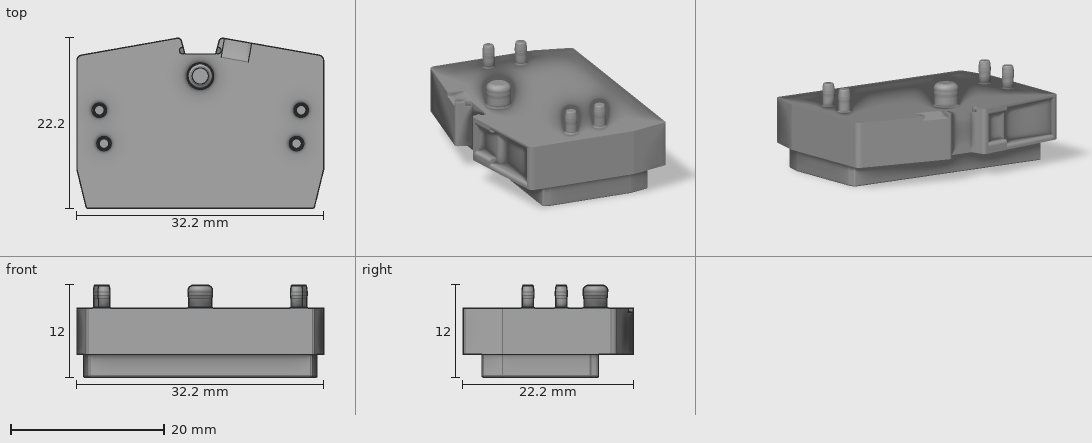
import cadquery as cq
import math

half_width = 16.1
body_height = 6.0
front_inset = 1.25
front_taper_y = 5.1
taper_slope = front_inset / front_taper_y
front_corner_radius = 0.3
shoulder_y = 19.885
shoulder_radius = 0.75
back_angle = 10
back_slope = math.tan(math.radians(back_angle))

notch_floor_y = 20.15
notch_half_width = 2.0
notch_flare = math.tan(math.radians(15))
tip_radius = 0.5

relief_radius = 0.43
relief_depth = 0.6
relief_x = notch_half_width + 0.3

recess_start_x = -15.3
recess_step_x = -6.7
recess_floor_y = 19.3
recess_top_z = -0.6
recess_bottom_z = -5.3
pocket_end_x = -3.3
pocket_floor_y = 20.5
pocket_top_z = -1.0
pocket_bottom_z = -4.65
step_radius = 0.77
opening_radius = 0.44
cut_margin = 2.0

ramp_start_x = 3.15
ramp_width = 3.6
ramp_length = 2.5
ramp_drop = 0.55

plate_height = 3.0
plate_half_width = 15.24
plate_front_y = 2.45
plate_back_y = 17.67
plate_front_taper_y = 5.14
plate_back_taper_y = 16.62
plate_front_x = plate_half_width - taper_slope * (plate_front_taper_y - plate_front_y)
plate_back_x = plate_half_width - taper_slope * (plate_back_y - plate_back_taper_y)
plate_corner_radius = 0.25
plate_side_radius = 0.6
plate_bottom_radius = 0.2

pin_height = 3.0
pin_root = 1.0
flare_height = 0.15
ridge_start_z = 1.25
ridge_low_z = 1.69
ridge_high_z = 2.13
crown_middle_z = 2.65
crown_end_z = 2.92
large_pin_y = 17.25
small_pin_spots = [(13.15, 12.8), (12.55, 8.45)]


def back_edge_y(x):
    """Y of the sloped back edge before its corners are rounded."""
    return shoulder_y + back_slope * (half_width - abs(x))


def symmetric_outline(right_half):
    """Full outline from its right half, listed front to back."""
    return right_half + [(-x, y) for x, y in reversed(right_half)]


def make_body():
    tip_rise = back_edge_y(notch_half_width) - notch_floor_y
    tip_x = notch_half_width + notch_flare * tip_rise / (1 + notch_flare * back_slope)
    front_corner = (half_width - front_inset, 0)
    shoulder = (half_width, shoulder_y)
    tip = (tip_x, back_edge_y(tip_x))
    right_half = [
        front_corner,
        (half_width, front_taper_y),
        shoulder,
        tip,
        (notch_half_width, notch_floor_y),
    ]
    body = cq.Workplane("XY").polyline(symmetric_outline(right_half)).close().extrude(-body_height)
    rounded_corners = [
        (front_corner, front_corner_radius),
        (shoulder, shoulder_radius),
        (tip, tip_radius),
    ]
    for (x, y), radius in rounded_corners:
        for side in (-1, 1):
            corner = cq.selectors.NearestToPointSelector((side * x, y, -body_height / 2))
            body = body.edges(corner).fillet(radius)
    return body


def make_reliefs():
    relief_y = notch_floor_y + relief_radius
    spots = [(-relief_x, relief_y), (relief_x, relief_y)]
    return cq.Workplane("XY").pushPoints(spots).circle(relief_radius).extrude(-relief_depth)


def make_recess():
    """Wide part of the recess, with a rounded step up to the floor of the narrow part."""
    outside_y = back_edge_y(0) + cut_margin
    return (
        cq.Workplane("XY", origin=(0, 0, recess_bottom_z))
        .moveTo(recess_start_x, recess_floor_y)
        .lineTo(recess_step_x - step_radius, recess_floor_y)
        .lineTo(recess_step_x - step_radius, pocket_floor_y - step_radius)
        .radiusArc((recess_step_x, pocket_floor_y), step_radius)
        .lineTo(recess_step_x, outside_y)
        .lineTo(recess_start_x, outside_y)
        .close()
        .extrude(recess_top_z - recess_bottom_z)
    )


def make_pocket():
    """Narrow part of the recess; its end wall is square to the sloped back edge."""
    end_y = back_edge_y(pocket_end_x)
    outside_y = end_y + cut_margin
    outline = [
        (recess_step_x, pocket_floor_y),
        (pocket_end_x + back_slope * (end_y - pocket_floor_y), pocket_floor_y),
        (pocket_end_x - back_slope * cut_margin, outside_y),
        (recess_step_x, outside_y),
    ]
    return (
        cq.Workplane("XY", origin=(0, 0, pocket_bottom_z))
        .polyline(outline)
        .close()
        .extrude(pocket_top_z - pocket_bottom_z)
    )


def round_opening(body):
    """Round the long upper and lower edges of the recess mouth."""
    recess_middle_x = (recess_start_x + recess_step_x) / 2
    pocket_middle_x = (recess_step_x + pocket_end_x) / 2
    mouth_edges = [
        (recess_middle_x, recess_top_z),
        (recess_middle_x, recess_bottom_z),
        (pocket_middle_x, pocket_top_z),
        (pocket_middle_x, pocket_bottom_z),
    ]
    for x, z in mouth_edges:
        edge = cq.selectors.NearestToPointSelector((x, back_edge_y(x), z))
        body = body.edges(edge).fillet(opening_radius)
    return body


def make_ramp():
    extra_drop = ramp_drop * cut_margin / ramp_length
    section = [
        (-ramp_length, 0),
        (cut_margin, -ramp_drop - extra_drop),
        (cut_margin, 0),
    ]
    return (
        cq.Workplane("YZ")
        .polyline(section)
        .close()
        .extrude(ramp_width)
        .rotate((0, 0, 0), (0, 0, 1), -back_angle)
        .translate((ramp_start_x, back_edge_y(ramp_start_x), 0))
    )


def make_plate():
    right_half = [
        (plate_front_x, plate_front_y),
        (plate_half_width, plate_front_taper_y),
        (plate_half_width, plate_back_taper_y),
        (plate_back_x, plate_back_y),
    ]
    plate = (
        cq.Workplane("XY", origin=(0, 0, -body_height))
        .polyline(symmetric_outline(right_half))
        .close()
        .extrude(-plate_height)
    )
    plate = plate.edges("|Z and (<Y or >Y)").fillet(plate_corner_radius)
    for side in (-1, 1):
        corner = (side * plate_half_width, plate_back_taper_y, -body_height - plate_height / 2)
        plate = plate.edges(cq.selectors.NearestToPointSelector(corner)).fillet(plate_side_radius)
    return plate.faces("<Z").edges().fillet(plate_bottom_radius)


def make_pin(x, y, shaft_radius, ridge_radius, flare_radius, crown_radius, top_radius):
    """Turned pin: flared foot, shaft, raised ridge and a rounded crown."""
    return (
        cq.Workplane("XZ")
        .moveTo(0, -pin_root)
        .lineTo(flare_radius, -pin_root)
        .lineTo(flare_radius, 0)
        .lineTo(shaft_radius, flare_height)
        .lineTo(shaft_radius, ridge_start_z)
        .lineTo(ridge_radius, ridge_low_z)
        .lineTo(ridge_radius, ridge_high_z)
        .threePointArc((shaft_radius, crown_middle_z), (crown_radius, crown_end_z))
        .lineTo(top_radius, pin_height)
        .lineTo(0, pin_height)
        .close()
        .revolve(360, (0, 0, 0), (0, 1, 0))
        .translate((x, y, 0))
    )


def make_large_pin():
    return make_pin(
        0, large_pin_y, shaft_radius=1.525, ridge_radius=1.6, flare_radius=1.75,
        crown_radius=1.22, top_radius=1.05,
    )


def make_small_pin(x, y):
    return make_pin(
        x, y, shaft_radius=0.75, ridge_radius=0.8, flare_radius=0.95,
        crown_radius=0.68, top_radius=0.62,
    )


body = make_body().cut(make_recess()).cut(make_pocket())
body = round_opening(body)
body = body.cut(make_reliefs()).cut(make_ramp())

result = body.union(make_plate()).union(make_large_pin())
for pin_x, pin_y in small_pin_spots:
    for side in (-1, 1):
        result = result.union(make_small_pin(side * pin_x, pin_y))